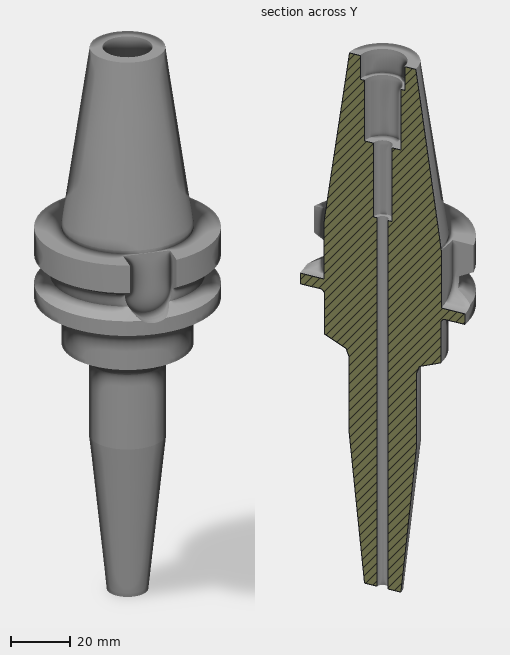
import cadquery as cq

total_length = 200.5

taper_length = 65.3
gauge_radius = 22.2
taper_slope = 7 / 48
taper_top_radius = gauge_radius - taper_length * taper_slope
gauge_z = total_length - taper_length

flange_radius = 31.5
flange_gap = 1.2
flange_top_z = gauge_z - flange_gap
flange_height = 26.0
flange_bottom_z = flange_top_z - flange_height
groove_radius = 26.0
groove_bevel = 3.0
upper_band_height = 10.2
groove_top_z = flange_top_z - upper_band_height - groove_bevel
groove_bottom_z = 116.2

collar_radius = 22.2
collar_flare = 1.0
collar_bottom_z = 91.0
shoulder_radius = 14.0
shoulder_bottom_z = 87.5
neck_radius = 13.0
neck_blend_z = 85.0
nose_top_z = 57.3
nose_tip_radius = 7.0

slot_width = 16.5
slot_depth = 21.8
slot_floor_x = 22.5

bores = [(8.5, 9.0), (6.8, 32.0), (3.5, 60.1), (2.0, total_length)]


def make_body():
    """Revolve the half outline of the holder about Z."""
    outline = [
        (0, 0),
        (nose_tip_radius, 0),
        (neck_radius, nose_top_z),
        (neck_radius, neck_blend_z),
        (shoulder_radius, shoulder_bottom_z),
        (collar_radius, collar_bottom_z),
        (collar_radius, flange_bottom_z - collar_flare),
        (collar_radius + collar_flare, flange_bottom_z),
        (flange_radius, flange_bottom_z),
        (flange_radius, groove_bottom_z - groove_bevel),
        (groove_radius, groove_bottom_z),
        (groove_radius, groove_top_z),
        (flange_radius, groove_top_z + groove_bevel),
        (flange_radius, flange_top_z),
        (gauge_radius, flange_top_z),
        (gauge_radius, gauge_z),
        (taper_top_radius, total_length),
        (0, total_length),
    ]
    return cq.Workplane("XZ").polyline(outline).close().revolve(360, (0, 0), (0, 1))


def make_drive_slot(side):
    """Round-bottomed slot cutter on the +X (side=1) or -X (side=-1) flank."""
    half_width = slot_width / 2
    bottom_z = flange_top_z - slot_depth
    arc_z = bottom_z + half_width
    return (
        cq.Workplane("YZ", origin=(side * slot_floor_x, 0, 0))
        .moveTo(-half_width, flange_top_z)
        .lineTo(-half_width, arc_z)
        .threePointArc((0, bottom_z), (half_width, arc_z))
        .lineTo(half_width, flange_top_z)
        .close()
        .extrude(side * flange_radius)
    )


def make_bore(radius, depth):
    """Cylindrical cutter going down from the top face."""
    return cq.Workplane("XY", origin=(0, 0, total_length)).circle(radius).extrude(-depth)


result = make_body()
for side in (-1, 1):
    result = result.cut(make_drive_slot(side))
for radius, depth in bores:
    result = result.cut(make_bore(radius, depth))